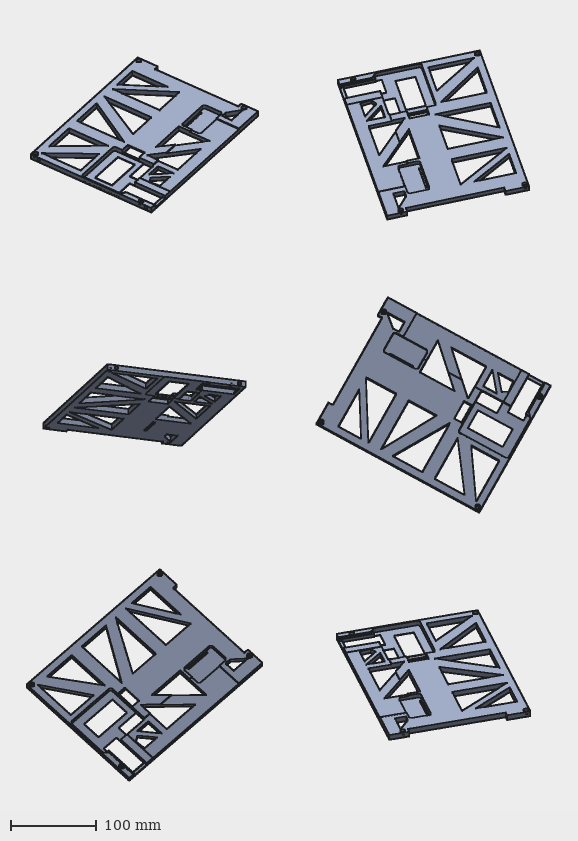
import cadquery as cq

width = 171.5
length = 216.7
thickness = 7.0

notch_left = 28.4
notch_right = 147.1
notch_depth = 5.9

recess_floor = 5.6
tray_floor = 0.9
connector_floor = 1.5
ledge_floor = 2.0
bay_floor = 2.2
shelf_floor = 4.5
bar_top = 6.0

recess_left = 127.5
recess_front = 38.5
recess_back = 178.1

connector_left = 112.5
connector_right = 139.1
connector_front = 145.0
connector_back = 190.5
connector_slot_width = 2.5
connector_slot_front = 151.5
connector_slot_back = 182.2
pocket_corner_radius = 3.0

tray_left = 71.0
tray_right = 128.0
tray_front = 1.5
tray_back = 67.6

rear_opening_left = 82.8
rear_opening_right = 106.6
rear_opening_back = 79.0
ledge_back = 70.0
lip_thickness = 2.0
lip_reach = 7.5

tray_window_left = 81.7
tray_window_right = 105.7
tray_window_front = 14.0
tray_window_back = 60.2
side_window_left = 113.3
side_window_front = 39.5

bay_window_left = 120.7
bay_window_right = 167.0
bay_front = 7.2
bay_back = 28.5
bay_window_front = 8.0
bay_shelf_back = 9.0
bay_chamfer = 4.0

left_frame = 9.0
left_frame_right = 76.0
front_frame_right = 64.5
right_frame_left = 111.5
right_frame = 155.4
small_frame_left = 133.0

truss_windows = [
    [(left_frame, 192.9), (59.5, 192.9), (left_frame, 162.5)],
    [(left_frame, 152.5), (left_frame_right, 192.9), (left_frame_right, 152.5)],
    [(left_frame, 136.0), (left_frame_right, 136.0), (left_frame_right, 98.8)],
    [(left_frame, 120.5), (left_frame, 81.0), (left_frame_right, 81.0)],
    [(left_frame, 64.5), (front_frame_right, 64.5), (left_frame, 24.5)],
    [(left_frame, 9.0), (front_frame_right, 46.4), (front_frame_right, 9.0)],
    [(right_frame_left, 141.0), (right_frame, 141.0), (right_frame_left, 94.7)],
    [(right_frame_left, 76.7), (right_frame, 123.0), (right_frame, 76.7)],
    [(small_frame_left, 68.5), (right_frame, 68.5), (small_frame_left, 50.3)],
    [(right_frame, 61.1), (137.5, 46.2), (141.7, 39.2), (right_frame, 40.7)],
    [(right_frame, 208.7), (142.0, 193.0), (142.0, 185.5), (right_frame, 185.5)],
]

screw_x = (4.1, 154.0)
screw_y = (4.3, 212.5)
screw_diameter = 3.0
counterbore_diameter = 6.0
counterbore_depth = 4.0

front_hole_x = (10.8, 163.8)
front_hole_diameter = 4.0
front_hole_depth = 6.5


def block(left, right, front, back, floor=0.0):
    """Rectangular cutter from a floor height up to the top face."""
    size = (right - left, back - front, thickness - floor)
    return cq.Workplane("XY").box(*size, centered=False).translate((left, front, floor))


def rounded_block(left, right, front, back, floor):
    return block(left, right, front, back, floor).edges("|Z").fillet(pocket_corner_radius)


def prism(points, floor=0.0):
    """Polygonal cutter from a floor height up to the top face."""
    return cq.Workplane("XY").workplane(offset=floor).polyline(points).close().extrude(thickness - floor)


plate = block(0, width, 0, length)
plate = plate.cut(block(notch_left, notch_right, length - notch_depth, length))

plate = plate.cut(block(recess_left, width, recess_front, recess_back, recess_floor))
plate = plate.cut(
    rounded_block(connector_left, connector_right, connector_front, connector_back, connector_floor)
)
plate = plate.cut(rounded_block(tray_left, tray_right, tray_front, tray_back, tray_floor))
plate = plate.cut(block(rear_opening_left, rear_opening_right, tray_back, ledge_back, ledge_floor))

plate = plate.cut(block(tray_right, width, bay_back, recess_front, bar_top))

plate = plate.cut(block(tray_right, width, bay_shelf_back, bay_back, bay_floor))
shelf_outline = [
    (tray_right, bay_shelf_back),
    (width, bay_shelf_back),
    (width, bay_front),
    (tray_right + bay_chamfer, bay_front),
    (tray_right, bay_front - bay_chamfer),
]
plate = plate.cut(prism(shelf_outline, shelf_floor))

connector_slot_right = connector_left + connector_slot_width
openings = [
    (connector_left, connector_slot_right, connector_slot_front, connector_slot_back),
    (rear_opening_left, rear_opening_right, ledge_back, rear_opening_back),
    (tray_window_left, tray_window_right, tray_window_front, tray_window_back),
    (bay_window_left, tray_right, bay_window_front, bay_back),
    (tray_right, bay_window_right, bay_shelf_back, bay_back),
]
for opening in openings:
    plate = plate.cut(block(*opening))

undercut_back = rear_opening_back + lip_reach
undercut = block(rear_opening_left, rear_opening_right, ledge_back, undercut_back)
plate = plate.cut(undercut.translate((0, 0, -lip_thickness)))

side_window = block(side_window_left, tray_right, side_window_front, tray_back)
plate = plate.cut(side_window.edges("|Z and >X and >Y").fillet(pocket_corner_radius))

for outline in truss_windows:
    plate = plate.cut(prism(outline))

screw_points = [(x, y) for x in screw_x for y in screw_y]
plate = plate.cut(
    cq.Workplane("XY").pushPoints(screw_points).circle(screw_diameter / 2).extrude(thickness)
)
plate = plate.cut(
    cq.Workplane("XY")
    .workplane(offset=thickness - counterbore_depth)
    .pushPoints(screw_points)
    .circle(counterbore_diameter / 2)
    .extrude(counterbore_depth)
)

front_points = [(x, thickness / 2) for x in front_hole_x]
plate = plate.cut(
    cq.Workplane("XZ").pushPoints(front_points).circle(front_hole_diameter / 2).extrude(-front_hole_depth)
)

result = plate